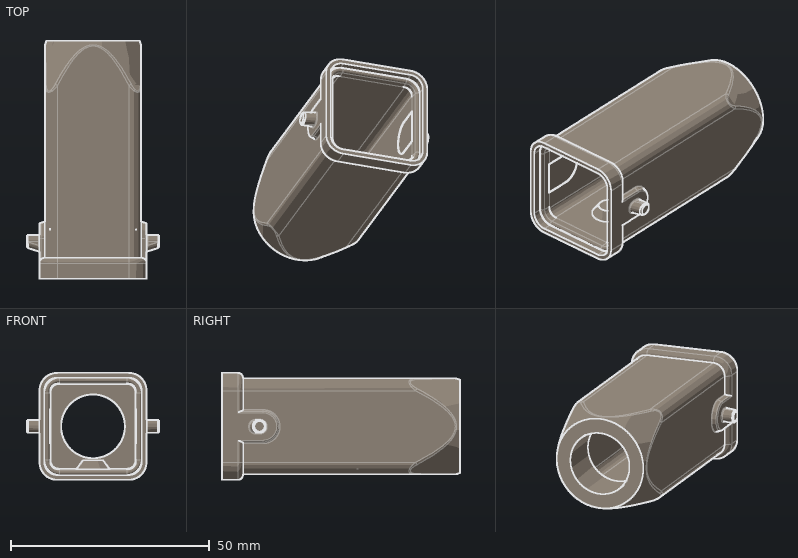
import cadquery as cq
import math

length = 60.0
collar_side = 27.0
collar_corner = 4.5
collar_depth = 5.35
body_side = 24.25
corner_centre = collar_side / 2 - collar_corner
collar_fillet = 1.3

nose_end_radius = 11.75
nose_slope = 0.32
nose_length = 18.0
nose_edge_fillet = 1.0

mouth_side = 24.55
bead_radius = 0.65
bead_centre_depth = 2.35
shelf_side = mouth_side - 4 * bead_radius
shelf_end_depth = 4.0
chamber_start_side = 21.6
chamber_end_side = 21.25
chamber_end_depth = 48.0
bead_corner_centre = 8.45
chamber_corner_centre = 8.8
cable_hole_diameter = 16.0

tongue_radius = 4.2
tongue_draft = 18
tongue_start_depth = 1.2
tongue_centre_depth = 10.3
tongue_edge_fillet = 0.4
tongue_root_fillet = 0.1
recess_radius = 4.25
recess_depth = 0.1

span = 33.4
pin_radius = 1.6
pin_centre_depth = 9.5
pin_foot_shift = 1.0
pin_tip_chamfer = 0.3
pin_root_fillet = 0.25

boss_foot_radius = 4.2
boss_top_radius = 2.5
boss_height = 2.3
boss_top_z = -8.5
boss_centre_depth = 14.4

pick_margin = 0.05


def square_prism(side, arc_centre, start, end, end_side=None):
    """Rounded square bar along Y from start to end, tapering to end_side if given.

    The corner arcs are centred at +/-arc_centre in X and Z at the start.
    """
    growth = 0 if end_side is None else (end_side - side) / 2
    return (
        cq.Workplane("XZ", origin=(0, start, 0))
        .sketch()
        .rect(side, side)
        .vertices()
        .fillet(side / 2 - arc_centre)
        .finalize()
        .extrude(start - end, taper=-math.degrees(math.atan(growth / (end - start))))
    )


def make_body():
    """Square bar with its far end cut to a cone and the cut edge softened."""
    bar = square_prism(body_side, corner_centre, 0, length)
    nose_start = length - nose_length
    nose_start_radius = nose_end_radius + nose_slope * nose_length
    envelope = (
        cq.Workplane("YZ")
        .moveTo(0, 0)
        .lineTo(0, nose_start_radius)
        .lineTo(nose_start, nose_start_radius)
        .lineTo(length, nose_end_radius)
        .lineTo(length, 0)
        .close()
        .revolve(360, (0, 0, 0), (1, 0, 0))
    )
    nose_zone = cq.selectors.BoxSelector(
        (-collar_side, nose_start, -collar_side), (collar_side, length - pick_margin, collar_side)
    )
    curved = cq.selectors.StringSyntaxSelector("not %LINE")
    return bar.intersect(envelope).edges(nose_zone & curved).fillet(nose_edge_fillet)


def make_collar():
    collar = square_prism(collar_side, corner_centre, 0, collar_depth)
    return collar.faces(">Y").edges().fillet(collar_fillet)


def tongue_outline(radius, start_depth, plane_x):
    """Round-ended outline on the +X side, running along Y from start_depth."""
    return (
        cq.Workplane("YZ", origin=(plane_x, 0, 0))
        .moveTo(start_depth, -radius)
        .lineTo(tongue_centre_depth, -radius)
        .threePointArc((tongue_centre_depth + radius, 0), (tongue_centre_depth, radius))
        .lineTo(start_depth, radius)
        .close()
    )


def make_tongue():
    """Drafted plate rising from the body wall to the level of the collar."""
    outline = tongue_outline(tongue_radius, tongue_start_depth, body_side / 2)
    tongue = outline.extrude((collar_side - body_side) / 2, taper=tongue_draft)
    return tongue.faces(">X").edges().fillet(tongue_edge_fillet)


def make_pin():
    """Round pin on the +X side whose flank towards the mouth slopes out to the tongue."""
    root_x = collar_side / 2
    tip_x = span / 2
    foot_y = pin_centre_depth - pin_foot_shift
    height = tip_x - root_x
    upright = cq.Workplane("YZ", origin=(root_x, pin_centre_depth, 0)).circle(pin_radius).extrude(height)
    sloped = (
        cq.Workplane("YZ", origin=(root_x, foot_y, 0))
        .circle(pin_radius)
        .workplane(offset=height)
        .center(pin_foot_shift, 0)
        .circle(pin_radius)
        .loft(ruled=True)
    )
    web = (
        cq.Workplane("XY", origin=(0, 0, -pin_radius))
        .polyline([(root_x, foot_y), (root_x, pin_centre_depth), (tip_x, pin_centre_depth)])
        .close()
        .extrude(2 * pin_radius)
    )
    tip_cone = (
        cq.Workplane("YZ", origin=(tip_x, pin_centre_depth, 0))
        .circle(pin_radius - pin_tip_chamfer)
        .extrude(-height, taper=-45)
    )
    return upright.union(sloped).union(web).intersect(tip_cone)


def make_bead():
    """Round bar following the inside of the mouth wall."""
    path_side = mouth_side - 2 * bead_radius
    path = square_prism(path_side, bead_corner_centre, bead_centre_depth, length).faces("<Y").wires()
    section = cq.Workplane("XY", origin=(path_side / 2, bead_centre_depth, 0)).circle(bead_radius)
    return section.sweep(path)


def make_boss():
    foot = cq.Vector(0, boss_centre_depth, boss_top_z - boss_height)
    return cq.Workplane(
        cq.Solid.makeCone(boss_foot_radius, boss_top_radius, boss_height, pnt=foot, dir=cq.Vector(0, 0, 1))
    )


def make_cavity():
    """Everything hollow, with the bead and the boss left standing."""
    mouth = square_prism(mouth_side, corner_centre, 0, bead_centre_depth)
    throat = square_prism(shelf_side, bead_corner_centre, 0, bead_centre_depth)
    shelf = square_prism(
        shelf_side, bead_corner_centre, bead_centre_depth, shelf_end_depth, chamber_start_side
    )
    chamber = square_prism(
        chamber_start_side, chamber_corner_centre, shelf_end_depth, chamber_end_depth, chamber_end_side
    )
    cable_hole = cq.Workplane("XZ").circle(cable_hole_diameter / 2).extrude(-length)
    recess = tongue_outline(recess_radius, shelf_end_depth, 0).extrude(chamber_start_side / 2 + recess_depth)
    cavity = mouth.cut(make_bead()).union(throat).union(shelf).union(chamber).union(cable_hole)
    return cavity.union(recess).union(recess.mirror("YZ")).cut(make_boss())


def add_on_both_sides(base, side_part, joint_x, half_width, root_fillet):
    """Join a +X part and its mirror image to base and round the joints lying at X = +/-joint_x."""
    joined = base.union(side_part).union(side_part.mirror("YZ"))
    joint_reach = half_width + pick_margin
    for x in (-joint_x, joint_x):
        joint = cq.selectors.BoxSelector(
            (x - pick_margin, pick_margin, -joint_reach),
            (x + pick_margin, length / 2 - pick_margin, joint_reach),
        )
        joined = joined.edges(joint).fillet(root_fillet)
    return joined


housing = make_body()
housing = add_on_both_sides(housing, make_tongue(), body_side / 2, tongue_radius, tongue_root_fillet)
housing = add_on_both_sides(housing, make_pin(), collar_side / 2, pin_radius, pin_root_fillet)
result = housing.union(make_collar()).cut(make_cavity())